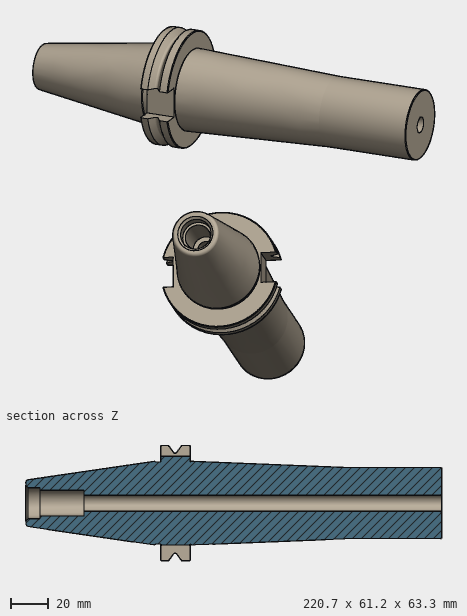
import cadquery as cq

total_length = 220.7
gauge_x = 68.5
flange_start_x = 71.5
flange_end_x = 87.5
shank_start_x = 170.5

gauge_dia = 44.5
neck_dia = 43.7
cone_dia = 44.5
flange_dia = 63.3
shank_dia = 38.0
taper_ratio = 7 / 24
small_end_dia = gauge_dia - gauge_x * taper_ratio

small_end_fillet = 1.8
flange_chamfer = 0.5
neck_chamfer = 0.5
shank_chamfer = 0.5

groove_x = 79.2
groove_width = 6.8
groove_depth = 4.6
groove_floor_radius = 1.0

slot_width = 16.3
slot_floor_far = 25.0
slot_floor_near = 22.3

mouth_dia = 19.0
pilot_dia = 16.3
thread_dia = 13.5
coolant_dia = 8.4
mouth_depth = 1.3
pilot_depth = 7.5
thread_depth = 31.0


def revolve_profile(points):
    """Revolve a closed outline of (x, radius) points about the X axis."""
    outline = cq.Workplane("XY").polyline(points).close()
    return outline.revolve(360, (0, 0, 0), (1, 0, 0))


def make_body():
    """Steep taper, neck, conical extension and cylindrical shank."""
    body = revolve_profile([
        (0, 0),
        (0, small_end_dia / 2),
        (gauge_x, gauge_dia / 2),
        (gauge_x + neck_chamfer, neck_dia / 2),
        (flange_end_x, neck_dia / 2),
        (flange_end_x + neck_chamfer, cone_dia / 2),
        (shank_start_x, shank_dia / 2),
        (total_length - shank_chamfer, shank_dia / 2),
        (total_length, shank_dia / 2 - shank_chamfer),
        (total_length, 0),
    ])
    return body.faces("<X").edges().fillet(small_end_fillet)


def make_flange():
    """Chamfered disc with the gripper groove around its rim."""
    rim = flange_dia / 2
    disc = revolve_profile([
        (flange_start_x, 0),
        (flange_start_x, rim - flange_chamfer),
        (flange_start_x + flange_chamfer, rim),
        (groove_x - groove_width / 2, rim),
        (groove_x, rim - groove_depth),
        (groove_x + groove_width / 2, rim),
        (flange_end_x - flange_chamfer, rim),
        (flange_end_x, rim - flange_chamfer),
        (flange_end_x, 0),
    ])
    near_groove_root = cq.selectors.BoxSelector(
        (groove_x - groove_width / 4, -rim, -rim),
        (groove_x + groove_width / 4, rim, rim),
    )
    return disc.edges(near_groove_root).fillet(groove_floor_radius)


def make_slot(side, floor):
    """Drive slot cutter on one side (+1 or -1 in Y), from its floor to the rim."""
    length = flange_end_x - flange_start_x
    depth = flange_dia / 2 - floor
    center = ((flange_start_x + flange_end_x) / 2, side * (floor + depth / 2), 0)
    return cq.Workplane("XY").box(length, depth, slot_width).translate(center)


def make_bore():
    """Countersunk pilot bore, threaded section and through coolant hole."""
    return revolve_profile([
        (0, 0),
        (0, mouth_dia / 2),
        (mouth_depth, pilot_dia / 2),
        (pilot_depth, pilot_dia / 2),
        (pilot_depth, thread_dia / 2),
        (thread_depth, thread_dia / 2),
        (thread_depth, coolant_dia / 2),
        (total_length, coolant_dia / 2),
        (total_length, 0),
    ])


flange = make_flange()
flange = flange.cut(make_slot(1, slot_floor_far))
flange = flange.cut(make_slot(-1, slot_floor_near))

result = make_body().union(flange).cut(make_bore())